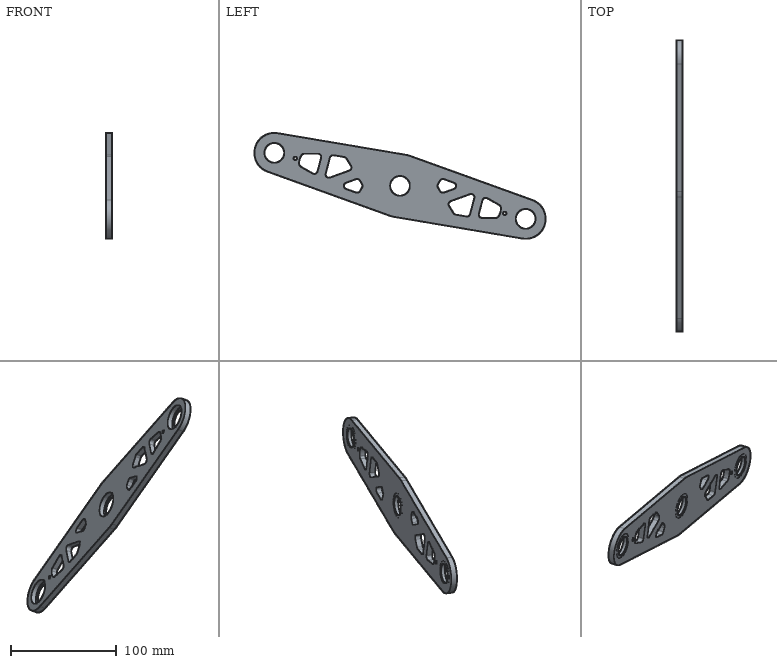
import cadquery as cq
import math

thickness = 6.0
arm_reach_y = 119.0
arm_reach_z = 31.25
end_radius = 19.0
hub_radius = 30.0
bore_diameter = 18.5
recess_diameter = 24.0
recess_depth = 5.0
pin_hole_diameter = 3.0
pin_hole_from_end = 20.5
rib_center = 75.0
rib_width = 8.2
outer_pocket_apex = 119.3
outer_pocket_tip = 98.2
outer_pocket_end_radius = 14.0
upper_rim = 12.0
lower_rim = 10.0
hub_side_angle = 58.8
pocket_fillet = 3.0

arm_length = math.hypot(arm_reach_y, arm_reach_z)
arm_angle = math.degrees(math.atan2(arm_reach_z, arm_reach_y))
taper_angle = math.degrees(math.asin((hub_radius - end_radius) / arm_length))
upper_edge_normal = arm_angle - taper_angle + 90
lower_edge_normal = arm_angle + taper_angle - 90


def polar(radius, angle, center=(0.0, 0.0)):
    """Point at a radius and an angle in degrees from +Y, about a centre."""
    y = center[0] + radius * math.cos(math.radians(angle))
    z = center[1] + radius * math.sin(math.radians(angle))
    return (y, z)


def crossing(first, second):
    """Intersection of two lines, each given as (normal angle, distance from the hub axis)."""
    ay, az = polar(1, first[0])
    by, bz = polar(1, second[0])
    det = ay * bz - az * by
    y = (first[1] * bz - second[1] * az) / det
    z = (ay * second[1] - by * first[1]) / det
    return (y, z)


def corners(lines):
    """Corner points of the closed polygon bounded by consecutive lines."""
    return [crossing(lines[i - 1], line) for i, line in enumerate(lines)]


def half_turn(point):
    """The point rotated half a turn about the hub axis."""
    return (-point[0], -point[1])


def plate():
    """Tangent hull of the hub circle and the two end circles."""
    end = polar(arm_length, arm_angle)
    hub_lower = polar(hub_radius, lower_edge_normal)
    end_lower = polar(end_radius, lower_edge_normal, end)
    end_tip = polar(arm_length + end_radius, arm_angle)
    end_upper = polar(end_radius, upper_edge_normal, end)
    hub_upper = polar(hub_radius, upper_edge_normal)
    hub_top = polar(hub_radius, arm_angle + 90)
    return (
        cq.Workplane("YZ")
        .moveTo(*hub_lower)
        .lineTo(*end_lower)
        .threePointArc(end_tip, end_upper)
        .lineTo(*hub_upper)
        .threePointArc(hub_top, half_turn(hub_lower))
        .lineTo(*half_turn(end_lower))
        .threePointArc(half_turn(end_tip), half_turn(end_upper))
        .lineTo(*half_turn(hub_upper))
        .threePointArc(half_turn(hub_top), hub_lower)
        .close()
        .extrude(thickness)
    )


def cylinders(centers, diameter, height):
    """Cylinders along X standing on the -X face."""
    return cq.Workplane("YZ").pushPoints(centers).circle(diameter / 2).extrude(height)


def round_holes():
    """Hub and end bores, each recessed from the +X face, and a pin hole in each arm."""
    bores = [(0.0, 0.0)]
    pins = []
    for side in (1, -1):
        bores.append(polar(side * arm_length, arm_angle))
        pins.append(polar(side * (arm_length - pin_hole_from_end), arm_angle))
    recess_floor = thickness - recess_depth
    recesses = cylinders(bores, recess_diameter, recess_depth).translate((recess_floor, 0, 0))
    through_holes = cylinders(bores, bore_diameter, thickness).union(
        cylinders(pins, pin_hole_diameter, thickness)
    )
    return through_holes.union(recesses)


def outer_pocket():
    """Pocket symmetric about the arm axis: horizontal top, mirrored bottom and a bowed far end."""
    rib_side = rib_center + rib_width / 2
    arc_center = outer_pocket_tip - outer_pocket_end_radius
    half_angle = math.radians(arm_angle)
    rib_half = (outer_pocket_apex - rib_side) * math.tan(half_angle)
    apex_offset = outer_pocket_apex - arc_center
    side_distance = apex_offset * math.sin(half_angle)
    arc_half = 90 - arm_angle - math.degrees(math.acos(side_distance / outer_pocket_end_radius))
    arc_y, arc_z = polar(outer_pocket_end_radius, arc_half, (arc_center, 0.0))
    return (
        cq.Workplane("YZ")
        .moveTo(rib_side, -rib_half)
        .lineTo(arc_y, -arc_z)
        .threePointArc((outer_pocket_tip, 0.0), (arc_y, arc_z))
        .lineTo(rib_side, rib_half)
        .close()
        .extrude(thickness)
        .edges("|X")
        .fillet(pocket_fillet)
        .rotate((0, 0, 0), (1, 0, 0), arm_angle)
    )


def pocket_prism(lines):
    """Straight-sided pocket with rounded corners, bounded by consecutive lines."""
    blank = cq.Workplane("YZ").polyline(corners(lines)).close().extrude(thickness)
    return blank.edges("|X").fillet(pocket_fillet)


def middle_pocket():
    """Pocket with sides parallel to the upper edge, tangent to the hub circle and along the rib."""
    lines = [
        (upper_edge_normal, hub_radius - upper_rim),
        (hub_side_angle - 90, hub_radius),
        (-lower_edge_normal, hub_radius),
        (arm_angle, rib_center - rib_width / 2),
    ]
    return pocket_prism(lines)


def inner_pocket():
    """Kite-shaped pocket mirrored about the Y axis."""
    side_distance = hub_radius - lower_rim
    lines = [
        (-lower_edge_normal, side_distance),
        (hub_side_angle - 90, hub_radius),
        (90 - hub_side_angle, hub_radius),
        (lower_edge_normal, side_distance),
    ]
    return pocket_prism(lines)


result = plate().cut(round_holes())
for pocket in (outer_pocket(), middle_pocket(), inner_pocket()):
    opposite_pocket = pocket.rotate((0, 0, 0), (1, 0, 0), 180)
    result = result.cut(pocket).cut(opposite_pocket)